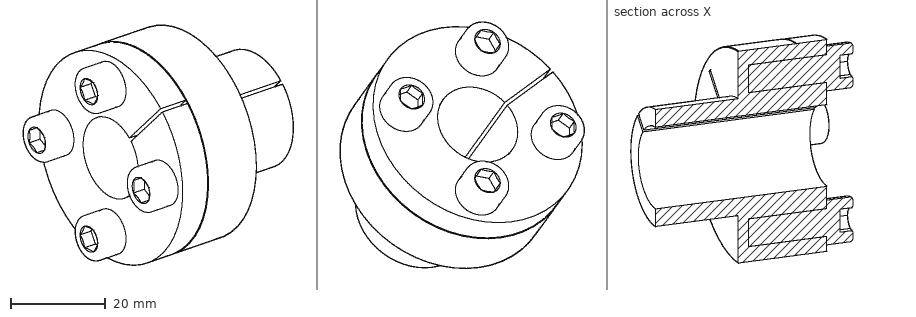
import cadquery as cq
import math

OUTER_DIAMETER = 47.0
BORE_DIAMETER = 18.0
SLEEVE_DIAMETER = 26.0
FLANGE_THICKNESS = 7.0
RING_LENGTH = 13.5
SLEEVE_LENGTH = 19.0

EDGE_CHAMFER = 0.15

SLIT_WIDTH = 0.8
SLIT_ANGLE = 45.0
RING_SLIT_RADIUS = 21.0

SCREW_COUNT = 4
SCREW_CIRCLE_RADIUS = 17.0
HEAD_DIAMETER = 10.0
HEAD_HEIGHT = 6.0
HEAD_FILLET = 0.8
SHANK_DIAMETER = 6.0
SHANK_LENGTH = 18.0
SOCKET_SIDES = 6
SOCKET_HALF_ANGLE = 180 / SOCKET_SIDES
SOCKET_WIDTH = 5.0
SOCKET_DEPTH = 3.0
SOCKET_CORNER_DIAMETER = SOCKET_WIDTH / math.cos(math.radians(SOCKET_HALF_ANGLE))
LEAD_IN_SLOPE = 60
LEAD_IN_DEPTH = (SOCKET_CORNER_DIAMETER - SOCKET_WIDTH) / 2 / math.tan(math.radians(LEAD_IN_SLOPE))

FLANGE_BACK = FLANGE_THICKNESS
RING_BACK = FLANGE_BACK + RING_LENGTH
SLEEVE_BACK = RING_BACK + SLEEVE_LENGTH
SCREW_ANGLES = [i * 360 / SCREW_COUNT for i in range(SCREW_COUNT)]


def cylinder(diameter, start, end):
    """Cylinder around the Y axis from Y = start to Y = end."""
    plane = cq.Workplane("XZ", origin=(0, start, 0))
    return plane.circle(diameter / 2).extrude(start - end)


def around_axis(shape, angle):
    """Turn a shape about the Y axis, from +X toward +Z."""
    return shape.rotate((0, 0, 0), (0, 1, 0), -angle)


def make_slit():
    """Radial slit that runs out through the flange and ends in a chamfered wall inside the ring."""
    slot = cq.Workplane("XY").box(OUTER_DIAMETER, SLEEVE_BACK, SLIT_WIDTH, centered=(False, False, True))
    half_profile = [
        (0, 0),
        (OUTER_DIAMETER, 0),
        (OUTER_DIAMETER, FLANGE_BACK),
        (RING_SLIT_RADIUS + EDGE_CHAMFER, FLANGE_BACK),
        (RING_SLIT_RADIUS, FLANGE_BACK + EDGE_CHAMFER),
        (RING_SLIT_RADIUS, SLEEVE_BACK),
        (0, SLEEVE_BACK),
    ]
    reach = cq.Workplane("XY").polyline(half_profile).close().revolve(360, (0, 0, 0), (0, 1, 0))
    return around_axis(slot.intersect(reach), SLIT_ANGLE)


def make_hub():
    """Flange, ring and sleeve as one body, with its bore, slit and screw holes."""
    flange = cylinder(OUTER_DIAMETER, 0, FLANGE_BACK)
    ring = cylinder(OUTER_DIAMETER, FLANGE_BACK, RING_BACK).edges().chamfer(EDGE_CHAMFER)
    sleeve = cylinder(SLEEVE_DIAMETER, 0, SLEEVE_BACK)
    hub = flange.union(ring).union(sleeve)
    hub = hub.cut(cylinder(BORE_DIAMETER, 0, SLEEVE_BACK)).cut(make_slit())

    shank_hole = cylinder(SHANK_DIAMETER, 0, SHANK_LENGTH).translate((SCREW_CIRCLE_RADIUS, 0, 0))
    for angle in SCREW_ANGLES:
        hub = hub.cut(around_axis(shank_hole, angle))
    return hub


def make_screw():
    """Cap screw on the +X side of the hub."""
    head = cylinder(HEAD_DIAMETER, -HEAD_HEIGHT, 0).faces("<Y").edges().fillet(HEAD_FILLET)
    face = cq.Workplane("XZ", origin=(0, -HEAD_HEIGHT, 0))
    hexagon = face.transformed(rotate=(0, 0, SOCKET_HALF_ANGLE)).polygon(SOCKET_SIDES, SOCKET_CORNER_DIAMETER)
    socket = hexagon.extrude(-SOCKET_DEPTH)
    lead_in = face.circle(SOCKET_CORNER_DIAMETER / 2).extrude(-LEAD_IN_DEPTH, taper=LEAD_IN_SLOPE)
    screw = head.union(cylinder(SHANK_DIAMETER, 0, SHANK_LENGTH)).cut(socket).cut(lead_in)
    return screw.translate((SCREW_CIRCLE_RADIUS, 0, 0))


hub = make_hub()
screws = [around_axis(make_screw(), angle) for angle in SCREW_ANGLES]
result = cq.Compound.makeCompound([hub.val(), *[screw.val() for screw in screws]])